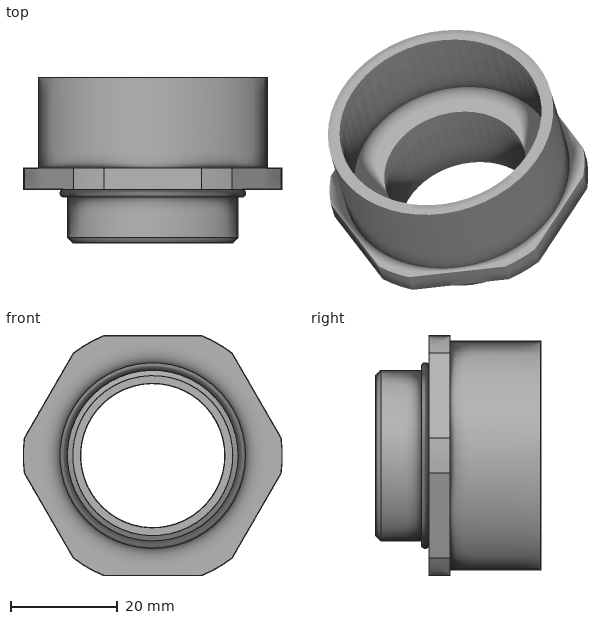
import cadquery as cq
import math

total_length = 31.0
body_diameter = 43.0
body_length = 17.0
flange_across_flats = 45.0
flange_corner_diameter = 48.6
flange_thickness = 4.0
spigot_diameter = 32.0
spigot_chamfer = 1.0
bore_diameter = 27.0
seal_section_diameter = 1.4
socket_diameter = 38.5
socket_depth = 15.0

spigot_length = total_length - body_length - flange_thickness
body_start = flange_thickness
socket_start = flange_thickness + body_length - socket_depth


def cylinder(diameter, start, length):
    """Solid cylinder on the Y axis, running from start towards +Y."""
    return cq.Workplane("XZ", origin=(0, start, 0)).circle(diameter / 2).extrude(-length)


def make_flange():
    """Hexagonal flange, flats facing +Z and -Z, with its corners rounded to a common circle."""
    quarter_turn = 90
    hexagon = (
        cq.Workplane("XZ")
        .polygon(6, flange_across_flats, circumscribed=True)
        .extrude(-flange_thickness)
        .rotate((0, 0, 0), (0, 1, 0), quarter_turn)
    )
    return hexagon.intersect(cylinder(flange_corner_diameter, 0, flange_thickness))


def make_spigot():
    """Plain spigot with a chamfered free end."""
    spigot = cylinder(spigot_diameter, -spigot_length, spigot_length)
    return spigot.faces("<Y").edges().chamfer(spigot_chamfer)


def make_seal_ring():
    """Round-section ring in the corner between spigot and flange, with the corner behind it filled."""
    section_radius = seal_section_diameter / 2
    spigot_radius = spigot_diameter / 2
    ring_radius = spigot_radius + section_radius
    diagonal = section_radius * math.sqrt(0.5)
    point_facing_outward = (ring_radius + diagonal, -section_radius - diagonal)
    return (
        cq.Workplane("XY")
        .moveTo(spigot_radius, 0)
        .lineTo(ring_radius, 0)
        .threePointArc(point_facing_outward, (spigot_radius, -section_radius))
        .close()
        .revolve(360, (0, 0), (0, 1))
    )


def make_socket():
    """Cutter for the wide socket that opens at the body's +Y end."""
    return cylinder(socket_diameter, socket_start, socket_depth)


def make_bore():
    """Cutter for the bore through the whole length."""
    return cylinder(bore_diameter, -spigot_length, total_length)


result = (
    cylinder(body_diameter, body_start, body_length)
    .union(make_flange())
    .union(make_spigot())
    .union(make_seal_ring())
    .cut(make_socket())
    .cut(make_bore())
)